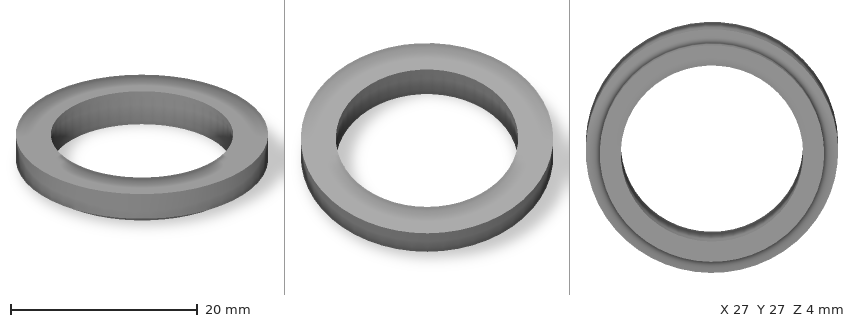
import cadquery as cq

flange_diameter = 27.0
spigot_diameter = 24.0
bore_diameter = 19.5
total_height = 4.0
spigot_height = 1.0
flange_height = total_height - spigot_height


def ring(outer_diameter, height, base_z):
    """Flat ring around the Z axis, pierced by the common bore."""
    return (
        cq.Workplane("XY", origin=(0, 0, base_z))
        .circle(outer_diameter / 2)
        .circle(bore_diameter / 2)
        .extrude(height)
    )


spigot = ring(spigot_diameter, spigot_height, 0)
flange = ring(flange_diameter, flange_height, spigot_height)

result = spigot.union(flange)